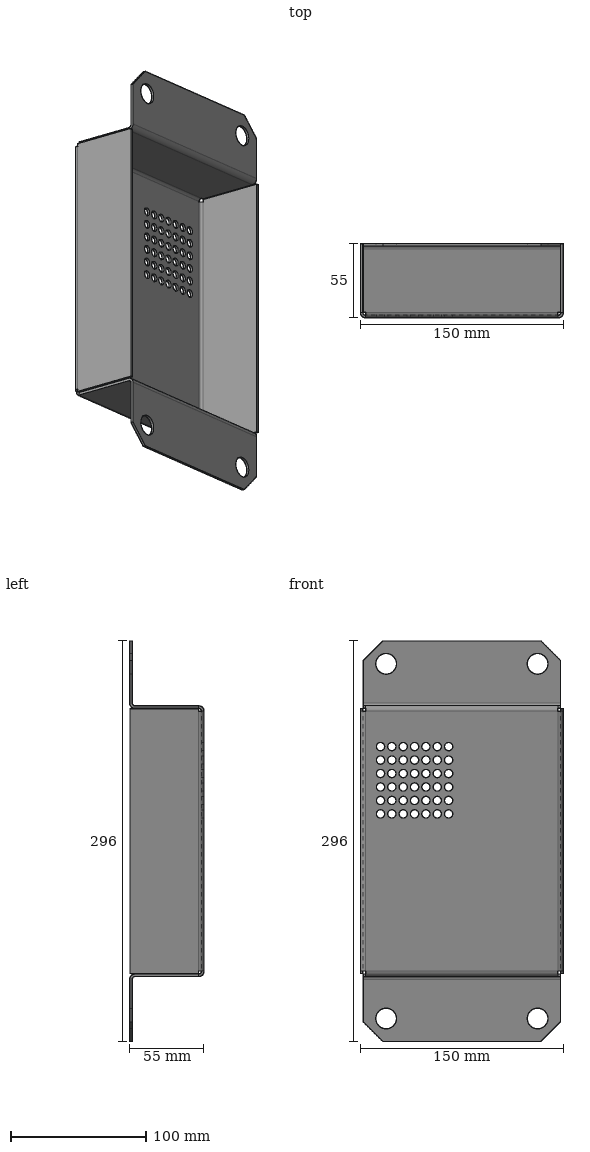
import cadquery as cq

BOX_WIDTH = 150.0
DEPTH = 55.0
TOTAL_HEIGHT = 296.0
BOX_HEIGHT = 200.0

SHEET = 2.0
INNER_RADIUS = 2.0
OUTER_RADIUS = INNER_RADIUS + SHEET
CLEARANCE = 0.15

TAB_CHAMFER = 14.5
MOUNT_HOLE_DIAMETER = 15.0
MOUNT_HOLE_SPACING_X = 112.0
MOUNT_HOLE_SPACING_Z = 262.0

VENT_DIAMETER = 6.0
VENT_COLUMNS = 7
VENT_ROWS = 6
VENT_GRID_WIDTH = 50.3
VENT_GRID_HEIGHT = 49.7
VENT_FIRST_X = -60.0
VENT_TOP_Z = 70.0

FRONT_Y = -DEPTH / 2
BACK_Y = DEPTH / 2
BEND_END_Y = FRONT_Y + OUTER_RADIUS
PANEL_WIDTH = BOX_WIDTH - 2 * OUTER_RADIUS
PANEL_HEIGHT = BOX_HEIGHT - 2 * OUTER_RADIUS
WALL_INSET = SHEET + CLEARANCE
END_WALL_WIDTH = BOX_WIDTH - 2 * WALL_INSET
SIDE_WALL_HEIGHT = BOX_HEIGHT - 2 * WALL_INSET


def block(x_range, y_range, z_range):
    """Axis-aligned block spanning the given (low, high) ranges."""
    size = [high - low for low, high in (x_range, y_range, z_range)]
    corner = (x_range[0], y_range[0], z_range[0])
    return cq.Workplane("XY").box(*size, centered=False).translate(corner)


def centered(length):
    return (-length / 2, length / 2)


def quarter_bend(plane, center, start_sign, end_sign, length):
    """Quarter ring of bent sheet, extruded symmetrically along the plane normal.

    The signs choose the quadrant around the bend centre.
    """
    u, v = center
    diagonal = 0.5 ** 0.5

    def on_axis_u(radius):
        return (u + start_sign * radius, v)

    def on_diagonal(radius):
        return (u + start_sign * radius * diagonal, v + end_sign * radius * diagonal)

    def on_axis_v(radius):
        return (u, v + end_sign * radius)

    return (
        cq.Workplane(plane)
        .moveTo(*on_axis_u(INNER_RADIUS))
        .lineTo(*on_axis_u(OUTER_RADIUS))
        .threePointArc(on_diagonal(OUTER_RADIUS), on_axis_v(OUTER_RADIUS))
        .lineTo(*on_axis_v(INNER_RADIUS))
        .threePointArc(on_diagonal(INNER_RADIUS), on_axis_u(INNER_RADIUS))
        .close()
        .extrude(length / 2, both=True)
    )


def front_panel():
    panel = block(centered(PANEL_WIDTH), (FRONT_Y, FRONT_Y + SHEET), centered(PANEL_HEIGHT))
    column_pitch = VENT_GRID_WIDTH / (VENT_COLUMNS - 1)
    row_pitch = VENT_GRID_HEIGHT / (VENT_ROWS - 1)
    vent_centers = [
        (VENT_FIRST_X + column * column_pitch, VENT_TOP_Z - row * row_pitch)
        for column in range(VENT_COLUMNS)
        for row in range(VENT_ROWS)
    ]
    vents = (
        cq.Workplane("XZ")
        .pushPoints(vent_centers)
        .circle(VENT_DIAMETER / 2)
        .extrude(DEPTH)
    )
    return panel.cut(vents)


def right_side_wall():
    """Wall on the +X side with its bend; the bend is only as long as the flat panel."""
    outer_x = BOX_WIDTH / 2
    wall = block(
        (outer_x - SHEET, outer_x),
        (BEND_END_Y, BACK_Y - CLEARANCE),
        centered(SIDE_WALL_HEIGHT),
    )
    bend = quarter_bend("XY", (PANEL_WIDTH / 2, BEND_END_Y), 1, -1, PANEL_HEIGHT)
    return wall.union(bend)


def upper_end_wall():
    """Wall on the +Z side with its front bend and the bend leading into the tab."""
    outer_z = BOX_HEIGHT / 2
    tab_bend_y = BACK_Y - OUTER_RADIUS
    wall = block(
        centered(END_WALL_WIDTH),
        (BEND_END_Y, tab_bend_y),
        (outer_z - SHEET, outer_z),
    )
    front_bend = quarter_bend("YZ", (BEND_END_Y, PANEL_HEIGHT / 2), -1, 1, PANEL_WIDTH)
    tab_bend = quarter_bend("YZ", (tab_bend_y, outer_z + INNER_RADIUS), 1, -1, END_WALL_WIDTH)
    return wall.union(front_bend).union(tab_bend)


def upper_tab():
    tab = block(
        centered(END_WALL_WIDTH),
        (BACK_Y - SHEET, BACK_Y),
        (BOX_HEIGHT / 2 + INNER_RADIUS, TOTAL_HEIGHT / 2),
    )
    tab = tab.faces(">Z").edges("|Y").chamfer(TAB_CHAMFER)
    hole_x = MOUNT_HOLE_SPACING_X / 2
    hole_z = MOUNT_HOLE_SPACING_Z / 2
    holes = (
        cq.Workplane("XZ")
        .pushPoints([(-hole_x, hole_z), (hole_x, hole_z)])
        .circle(MOUNT_HOLE_DIAMETER / 2)
        .extrude(-DEPTH)
    )
    return tab.cut(holes)


def with_mirror(body, plane):
    return body.union(body.mirror(plane))


side_walls = with_mirror(right_side_wall(), "YZ")
ends = with_mirror(upper_end_wall().union(upper_tab()), "XY")
result = front_panel().union(side_walls).union(ends)